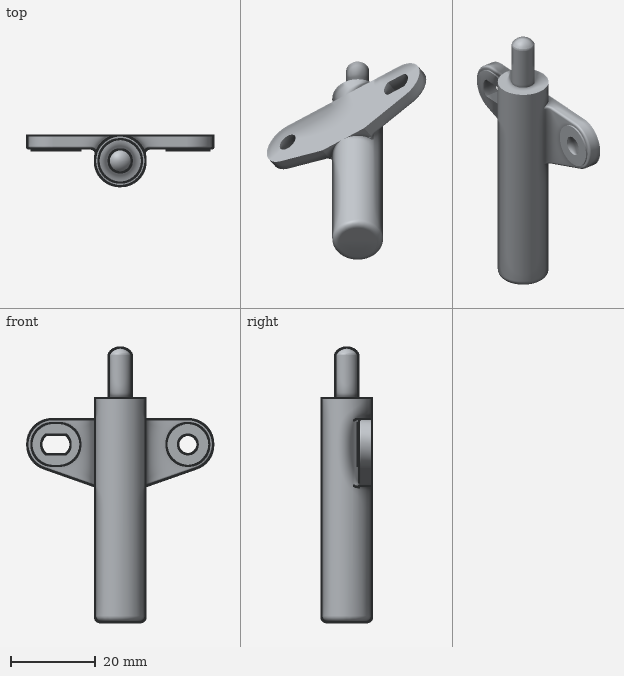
import cadquery as cq
import math

tube_radius = 6.01
tube_height = 53.05
bore_radius = 5.15
bottom_round = 1.4
floor_thickness = bottom_round

plate_thickness = 3.1
plate_end_radius = 6.01
plate_end_x = 16.0
plate_end_z = 42.05
plate_root_z = 32.2
plate_edge_round = 0.5
root_fillet = 1.1

pad_radius = 5.1
pad_height = 0.4
hole_diameter = 4.55
slot_length = 6.9
slot_height = hole_diameter
slot_end_bulge = 1.1
slot_x = -15.2
slot_pad_stretch = 1.4
slot_pad_length = 2 * pad_radius + slot_pad_stretch

total_height = 65.0
rod_radius = 2.7
dome_height = 1.6
rod_edge_round = 0.85

plate_back_y = tube_radius
plate_front_y = plate_back_y - plate_thickness
pad_front_y = plate_front_y - pad_height


def front_plane(y):
    """XZ plane at the given Y whose normal points to the front (-Y)."""
    return cq.Workplane("XZ", origin=(0, y, 0))


def make_plate():
    """Symmetric plate: rounded ends, flat top, lower edges tangent to the ends."""
    run = plate_end_x - tube_radius
    rise = plate_end_z - plate_root_z
    toward_root = math.atan2(-rise, -run)
    tangent_angle = toward_root + math.acos(plate_end_radius / math.hypot(run, rise))
    tangent_x = plate_end_x + plate_end_radius * math.cos(tangent_angle)
    tangent_z = plate_end_z + plate_end_radius * math.sin(tangent_angle)
    top_z = plate_end_z + plate_end_radius
    tip_x = plate_end_x + plate_end_radius
    slope = (tangent_z - plate_root_z) / (tangent_x - tube_radius)
    meeting_z = plate_root_z - slope * tube_radius
    return (
        front_plane(plate_back_y)
        .moveTo(-plate_end_x, top_z)
        .lineTo(plate_end_x, top_z)
        .threePointArc((tip_x, plate_end_z), (tangent_x, tangent_z))
        .lineTo(0, meeting_z)
        .lineTo(-tangent_x, tangent_z)
        .threePointArc((-tip_x, plate_end_z), (-plate_end_x, top_z))
        .close()
        .extrude(plate_thickness)
    )


def make_shell():
    """Tube and plate joined, with the root fillets and the rounded front edge."""
    tube = cq.Workplane("XY").circle(tube_radius).extrude(tube_height)
    tube = tube.faces("<Z").edges().fillet(bottom_round)
    shell = tube.union(make_plate())

    root_x = math.sqrt(tube_radius**2 - plate_front_y**2)
    for side in (-1, 1):
        root_point = (side * root_x, plate_front_y, plate_end_z)
        shell = shell.edges(cq.selectors.NearestToPointSelector(root_point)).fillet(root_fillet)

    for side in (-1, 1):
        tip_point = (side * (plate_end_x + plate_end_radius), plate_front_y, plate_end_z)
        shell = shell.edges(cq.selectors.NearestToPointSelector(tip_point)).fillet(plate_edge_round)

    trim = (
        cq.Workplane("XY", origin=(0, plate_back_y - plate_thickness / 2, 0))
        .rect(2 * tube_radius, plate_thickness)
        .extrude(plate_root_z)
        .cut(cq.Workplane("XY").circle(tube_radius).extrude(plate_root_z))
    )
    return shell.cut(trim)


def make_slot_cutter(depth):
    """Elongated hole with flat top and bottom and shallow arcs at both ends."""
    half_length = slot_length / 2
    half_flat = half_length - slot_end_bulge
    half_height = slot_height / 2
    return (
        front_plane(plate_back_y)
        .center(slot_x, plate_end_z)
        .moveTo(-half_flat, half_height)
        .lineTo(half_flat, half_height)
        .threePointArc((half_length, 0), (half_flat, -half_height))
        .lineTo(-half_flat, -half_height)
        .threePointArc((-half_length, 0), (-half_flat, half_height))
        .close()
        .extrude(depth)
    )


def make_housing():
    """Shell with pads, mounting holes and the blind bore for the damper."""
    pad_depth = plate_back_y - pad_front_y
    back = front_plane(plate_back_y)
    round_pad = back.center(plate_end_x, plate_end_z).circle(pad_radius).extrude(pad_depth)
    slot_pad = back.center(slot_x, plate_end_z).slot2D(slot_pad_length, 2 * pad_radius).extrude(pad_depth)
    hole = back.center(plate_end_x, plate_end_z).circle(hole_diameter / 2).extrude(pad_depth)
    slot = make_slot_cutter(pad_depth)
    bore = (
        cq.Workplane("XY", origin=(0, 0, floor_thickness))
        .circle(bore_radius)
        .extrude(tube_height - floor_thickness)
    )
    return make_shell().union(round_pad).union(slot_pad).cut(hole).cut(slot).cut(bore)


def make_damper():
    """Cartridge that fills the bore, with a domed rod standing out of it."""
    shoulder_z = total_height - dome_height
    dome_radius = (rod_radius**2 + dome_height**2) / (2 * dome_height)
    mid_x = rod_radius / 2
    mid_z = total_height - dome_radius + math.sqrt(dome_radius**2 - mid_x**2)
    profile = (
        cq.Workplane("XZ")
        .moveTo(0, floor_thickness)
        .lineTo(bore_radius, floor_thickness)
        .lineTo(bore_radius, tube_height)
        .lineTo(rod_radius, tube_height)
        .lineTo(rod_radius, shoulder_z)
        .threePointArc((mid_x, mid_z), (0, total_height))
        .close()
    )
    damper = profile.revolve(360, (0, 0, 0), (0, 1, 0))
    dome_rim = cq.selectors.NearestToPointSelector((0, 0, shoulder_z))
    return damper.edges("%CIRCLE").edges(dome_rim).fillet(rod_edge_round)


housing = make_housing()
damper = make_damper()
result = cq.Compound.makeCompound([housing.val(), damper.val()])